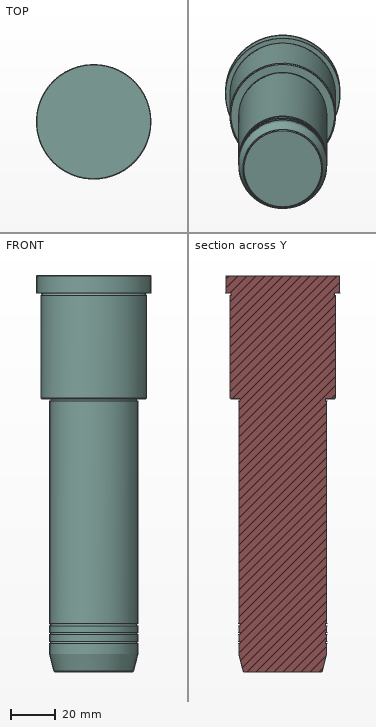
import cadquery as cq

total_length = 180.0
head_length = 8.0
collar_length = 48.0
tip_length = 8.0

head_radius = 26.0
collar_radius = 24.0
shaft_radius = 20.0
tip_end_radius = 18.1

head_fillet = 0.5
collar_chamfer = 0.5
tip_chamfer = 0.5

relief_width = 1.0
relief_depth = 0.5

groove_radius = 0.5
tip_groove_count = 3
tip_groove_pitch = 4.0
lowest_groove_height = 13.5

head_base = total_length - head_length
collar_base = head_base - collar_length


def stepped_pin():
    """Revolve the half outline: tapered tip, shaft, collar and head."""
    outline = (
        cq.Workplane("XZ")
        .moveTo(0, 0)
        .lineTo(tip_end_radius - tip_chamfer, 0)
        .lineTo(tip_end_radius, tip_chamfer)
        .lineTo(shaft_radius, tip_length)
        .lineTo(shaft_radius, collar_base)
        .lineTo(collar_radius - collar_chamfer, collar_base)
        .lineTo(collar_radius, collar_base + collar_chamfer)
        .lineTo(collar_radius, head_base)
        .lineTo(head_radius, head_base)
        .lineTo(head_radius, total_length - head_fillet)
        .radiusArc((head_radius - head_fillet, total_length), -head_fillet)
        .lineTo(0, total_length)
        .close()
    )
    return outline.revolve(360, (0, 0, 0), (0, 1, 0))


def collar_relief_cutter():
    """Square-sided ring that relieves the corner between shaft and collar."""
    return (
        cq.Workplane("XY", origin=(0, 0, collar_base - relief_width))
        .circle(shaft_radius)
        .circle(shaft_radius - relief_depth)
        .extrude(relief_width)
    )


def half_round_cutter(surface_radius, height):
    """Ring that cuts a half-round groove, centred at the given height, into a cylinder."""
    groove_bottom = (surface_radius - groove_radius, height)
    groove_top = (surface_radius, height + groove_radius)
    return (
        cq.Workplane("XZ")
        .moveTo(surface_radius, height - groove_radius)
        .threePointArc(groove_bottom, groove_top)
        .close()
        .revolve(360, (0, 0, 0), (0, 1, 0))
    )


result = stepped_pin()
result = result.cut(collar_relief_cutter())

result = result.cut(half_round_cutter(collar_radius, head_base - groove_radius))

for index in range(tip_groove_count):
    groove_height = lowest_groove_height + index * tip_groove_pitch
    result = result.cut(half_round_cutter(shaft_radius, groove_height))